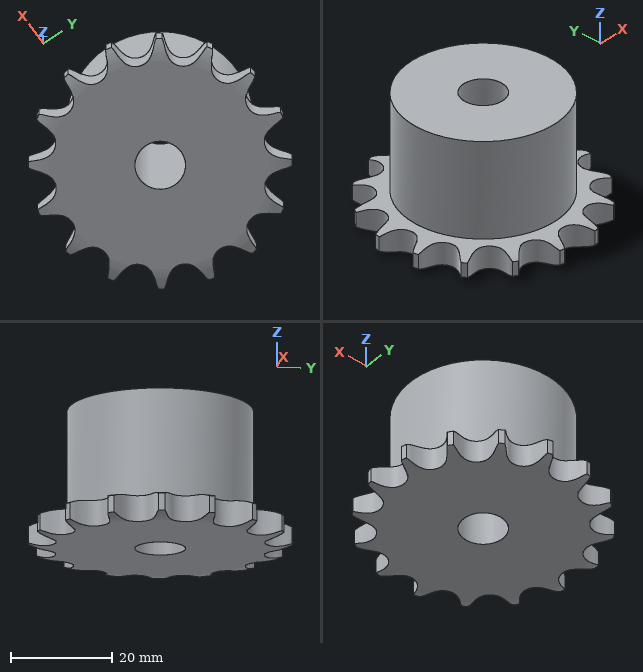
import cadquery as cq
import math

overall_width = 51.55
overall_height = 28.0
plate_thickness = 5.25
hub_diameter = 37.0
bore_diameter = 10.0

tooth_count = 16
pitch_radius = 24.4
seat_radius = 3.25
working_radius = 8.3
flank_length = 0.7
topping_radius = 5.25
seat_end_angle = math.radians(35 + 60 / tooth_count)
flank_angle = seat_end_angle - math.radians(18 - 56 / tooth_count)

flat_face_radius = 21.75
tip_setback = 0.95

cutter_overrun = 0.5


def offset(point, distance, angle):
    """Point moved by a distance in a direction given in radians."""
    return point[0] + distance * math.cos(angle), point[1] + distance * math.sin(angle)


def mirrored(point):
    """Point reflected across the centre line of a tooth gap."""
    return -point[0], point[1]


tip_height = overall_width / 2
cutter_height = tip_height + cutter_overrun
seat_center = (0, pitch_radius)
seat_bottom = (0, pitch_radius - seat_radius)
seat_end = offset(seat_center, seat_radius, -seat_end_angle)
working_center = offset(seat_end, -working_radius, -seat_end_angle)
working_middle = offset(working_center, working_radius, -(seat_end_angle + flank_angle) / 2)
working_end = offset(working_center, working_radius, -flank_angle)
flank_end = offset(working_end, flank_length, math.pi / 2 - flank_angle)
topping_center = offset(flank_end, topping_radius, -flank_angle)


def topping_angle(height):
    """Direction from the topping arc's centre to its point at the given height."""
    return math.pi - math.asin((height - topping_center[1]) / topping_radius)


tip_corner = offset(topping_center, topping_radius, topping_angle(tip_height))
tip_radius = math.hypot(*tip_corner)
topping_end = offset(topping_center, topping_radius, topping_angle(cutter_height))
topping_middle_angle = (math.pi - flank_angle + topping_angle(cutter_height)) / 2
topping_middle = offset(topping_center, topping_radius, topping_middle_angle)


def make_plate():
    """Disc whose rim faces are arcs tangent to the flat faces."""
    rim_width = tip_radius - flat_face_radius
    rim_curve_radius = (rim_width**2 + tip_setback**2) / (2 * tip_setback)
    half_sweep = math.asin(rim_width / rim_curve_radius) / 2
    middle_radius = flat_face_radius + rim_curve_radius * math.sin(half_sweep)
    middle_setback = rim_curve_radius * (1 - math.cos(half_sweep))
    return (
        cq.Workplane("XZ")
        .lineTo(flat_face_radius, 0)
        .threePointArc((middle_radius, middle_setback), (tip_radius, tip_setback))
        .lineTo(tip_radius, plate_thickness - tip_setback)
        .threePointArc(
            (middle_radius, plate_thickness - middle_setback),
            (flat_face_radius, plate_thickness),
        )
        .lineTo(0, plate_thickness)
        .close()
        .revolve(360, (0, 0, 0), (0, 1, 0))
    )


def make_gap_cutter():
    """Prism of the space between two teeth, centred on +Y."""
    return (
        cq.Workplane("XY")
        .moveTo(*mirrored(topping_end))
        .threePointArc(mirrored(topping_middle), mirrored(flank_end))
        .lineTo(*mirrored(working_end))
        .threePointArc(mirrored(working_middle), mirrored(seat_end))
        .threePointArc(seat_bottom, seat_end)
        .threePointArc(working_middle, working_end)
        .lineTo(*flank_end)
        .threePointArc(topping_middle, topping_end)
        .close()
        .extrude(plate_thickness)
    )


plate = make_plate()
gap_cutter = make_gap_cutter()
for gap in range(tooth_count):
    plate = plate.cut(gap_cutter.rotate((0, 0, 0), (0, 0, 1), gap * 360 / tooth_count))

hub = cq.Workplane("XY").circle(hub_diameter / 2).extrude(overall_height)
bore = cq.Workplane("XY").circle(bore_diameter / 2).extrude(overall_height)

result = plate.union(hub).cut(bore)